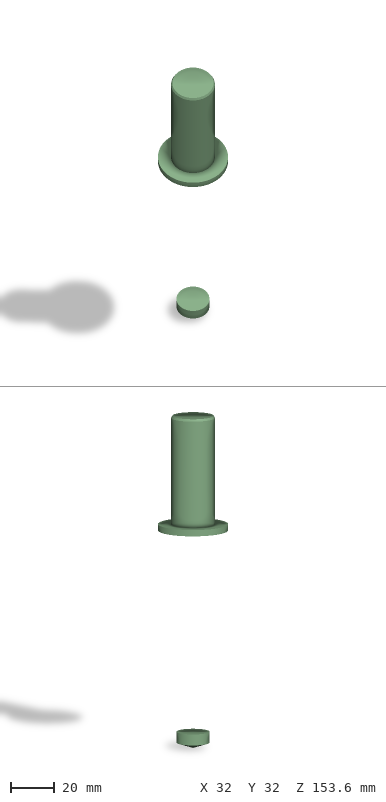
import cadquery as cq

total_height = 153.6

shaft_diameter = 20.0
shaft_length = 50.0
shaft_chamfer_height = 1.0
shaft_chamfer_inset = 0.58
head_diameter = 32.0
head_thickness = 2.9

plug_diameter = 15.0
plug_rim_height = 5.0
plug_cone_height = 2.5


def revolve_about_z(half_profile):
    """Solid of revolution about Z from a closed outline of (radius, height) points."""
    return cq.Workplane("XZ").polyline(half_profile).close().revolve(360, (0, 0, 0), (0, 1, 0))


def make_pin():
    """Upright shaft with a steep chamfer at its top end, standing on a flat round head."""
    shaft_radius = shaft_diameter / 2
    head_radius = head_diameter / 2
    head_top = total_height - shaft_length
    head_bottom = head_top - head_thickness
    return revolve_about_z([
        (0, head_bottom),
        (head_radius, head_bottom),
        (head_radius, head_top),
        (shaft_radius, head_top),
        (shaft_radius, total_height - shaft_chamfer_height),
        (shaft_radius - shaft_chamfer_inset, total_height),
        (0, total_height),
    ])


def make_plug():
    """Short disc with a shallow cone pointing down."""
    radius = plug_diameter / 2
    top = plug_cone_height + plug_rim_height
    return revolve_about_z([(0, 0), (radius, plug_cone_height), (radius, top), (0, top)])


pin = make_pin()
plug = make_plug()

result = cq.Compound.makeCompound([pin.val(), plug.val()])